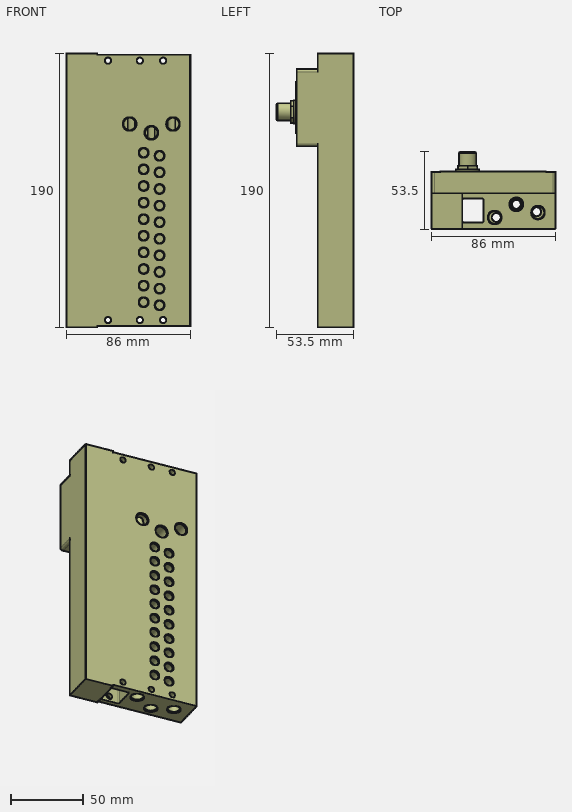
import cadquery as cq

block_width = 86.0
block_depth = 24.9
block_height = 190.0
front_edge_chamfer = 0.4

end_step_x = 21.5
end_step_height = 1.0

duct_width = 14.6
duct_depth = 16.5
duct_front = 4.5
duct_corner_radius = 1.0

mount_hole_xs = (28.9, 51.0, 67.0)
mount_hole_end_distance = 5.1
mount_hole_diameter = 4.2

countersink_depth = 1.0

passage_diameter = 6.0
supply_port_diameter = 8.5
supply_port_mouth_diameter = 9.7
end_port_depth = 8.0
floor_to_passage_axis = 1.7
supply_lines = (
    ((43.9, 8.0), (45.0, 8.0), 141.0),
    ((58.9, 17.1), (58.9, 17.1), 134.9),
    ((74.0, 11.4), (73.0, 12.0), 141.0),
)

outlet_count = 10
outlet_column_length = 103.5
outlet_pitch = outlet_column_length / (outlet_count - 1)
outlet_columns = ((53.5, 121.0), (64.6, 119.0))
outlet_diameter = 6.0
outlet_mouth_diameter = 7.0
outlet_depth = 8.0

housing_depth = 14.6
housing_bottom = 125.4
housing_height = 53.8
housing_corner_radius = 1.9
label_left = 6.3
label_width = 73.2
label_bottom = 134.5
label_height = 36.0
label_thickness = 0.5

plug_x = 25.0
plug_z = 149.3
plug_tip_y = 53.5
washer_diameter = 16.5
washer_end_y = 41.5
nut_across_corners = 15.5
nut_end_y = 43.7
barrel_diameter = 12.2
barrel_tip_chamfer = 1.0

housing_back = block_depth + housing_depth


def box(x, y, z, width, depth, height):
    """Box with its lowest corner at (x, y, z)."""
    return cq.Workplane("XY").box(width, depth, height, centered=False).translate((x, y, z))


def plane_at_depth(y):
    """Sketch plane facing +Y whose local coordinates are (Z, X)."""
    return cq.Workplane(cq.Plane(origin=(0, y, 0), xDir=(0, 0, 1), normal=(0, 1, 0)))


def port(mouth, direction, diameter, mouth_diameter, depth):
    """Flat-bottomed hole with a countersunk mouth."""
    mouth_point = cq.Vector(*mouth)
    axis = cq.Vector(*direction)
    radius = diameter / 2
    mouth_radius = mouth_diameter / 2
    bore = cq.Solid.makeCylinder(radius, depth, mouth_point, axis)
    countersink = cq.Solid.makeCone(mouth_radius, radius, countersink_depth, mouth_point, axis)
    return cq.Workplane(bore).union(cq.Workplane(countersink))


def make_block():
    block = box(0, 0, 0, block_width, block_depth, block_height)
    block = block.edges("|Z and <Y").chamfer(front_edge_chamfer)
    step_width = block_width - end_step_x
    for z in (0, block_height - end_step_height):
        block = block.cut(box(end_step_x, 0, z, step_width, block_depth, end_step_height))
    duct = box(end_step_x, duct_front, 0, duct_width, duct_depth, block_height)
    return block.cut(duct.edges("|Z").fillet(duct_corner_radius))


def make_housing():
    housing = box(0, block_depth, housing_bottom, block_width, housing_depth, housing_height)
    housing = housing.edges("|Y").fillet(housing_corner_radius)
    label = box(label_left, housing_back, label_bottom, label_width, label_thickness, label_height)
    return housing.union(label)


def make_plug():
    base = plane_at_depth(housing_back).center(plug_z, plug_x)
    washer = base.circle(washer_diameter / 2).extrude(washer_end_y - housing_back)
    nut = base.polygon(6, nut_across_corners).extrude(nut_end_y - housing_back)
    barrel = base.circle(barrel_diameter / 2).extrude(plug_tip_y - housing_back)
    barrel = barrel.faces(">Y").chamfer(barrel_tip_chamfer)
    return washer.union(nut).union(barrel)


def cut_mounting_holes(body):
    end_zs = (mount_hole_end_distance, block_height - mount_hole_end_distance)
    points = [(z, x) for x in mount_hole_xs for z in end_zs]
    holes = plane_at_depth(0).pushPoints(points).circle(mount_hole_diameter / 2)
    return body.cut(holes.extrude(block_depth))


def cut_supply_lines(body):
    top = block_height - end_step_height
    sizes = (supply_port_diameter, supply_port_mouth_diameter)
    for (port_x, port_y), (passage_x, passage_y), front_port_z in supply_lines:
        passage = cq.Workplane("XY").center(passage_x, passage_y).circle(passage_diameter / 2)
        body = body.cut(passage.extrude(block_height))
        body = body.cut(port((port_x, port_y, top), (0, 0, -1), *sizes, end_port_depth))
        body = body.cut(port((port_x, port_y, end_step_height), (0, 0, 1), *sizes, end_port_depth))
        front_depth = passage_y - floor_to_passage_axis
        body = body.cut(port((port_x, 0, front_port_z), (0, 1, 0), *sizes, front_depth))
    return body


def cut_outlets(body):
    for x, top_z in outlet_columns:
        for row in range(outlet_count):
            mouth = (x, 0, top_z - row * outlet_pitch)
            body = body.cut(port(mouth, (0, 1, 0), outlet_diameter, outlet_mouth_diameter, outlet_depth))
    return body


block = cut_outlets(cut_supply_lines(cut_mounting_holes(make_block())))
result = block.union(make_housing()).union(make_plug())